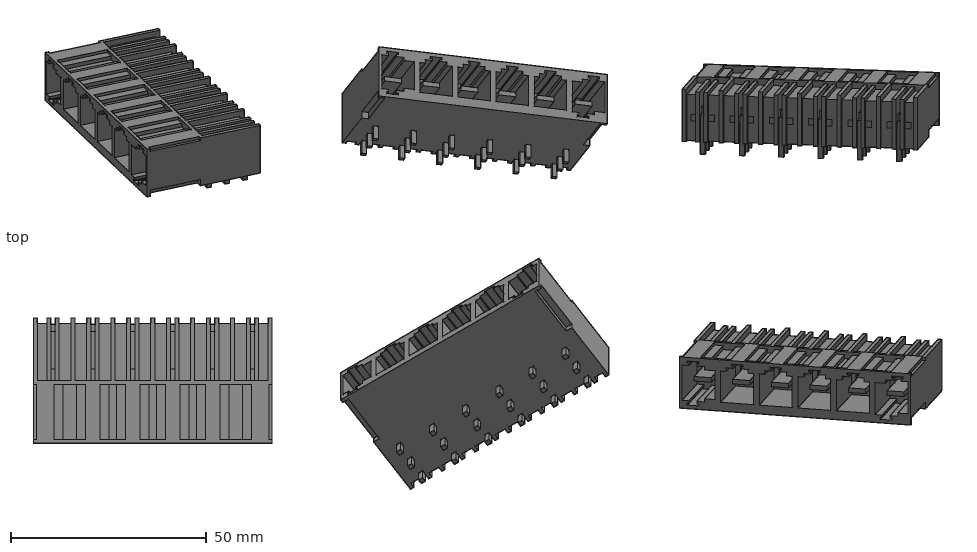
import cadquery as cq

LENGTH = 60.95
DEPTH = 32.0
HEIGHT = 13.65
CELLS = 6
PITCH = 10.2
CELL_CENTRES = [(i - (CELLS - 1) / 2) * PITCH for i in range(CELLS)]

FRONT_RIM = 1.0
CAVITY_DEPTH = 15.05
CAVITY_WIDTH = 8.65
SHOULDER_DROP = 3.0
INNER_FLOOR = 2.4
INNER_STEP_DROP = 2.0
INNER_STEP_WIDTH = 5.8
END_STEP_DROP = 2.15
END_STEP_WIDTH = 6.0
END_KEY_OFFSET = 1.45
KEY_NECK_WIDTH = 2.1
KEY_HEAD_WIDTH = 3.05
KEY_HEAD_HEIGHT = 0.5
KEY_DROP = 1.0

SKIN_DROP = 0.8
GROOVE_DROP = 1.8
INNER_RECESS_WIDTH = 6.5
INNER_GROOVE_WIDTH = 1.95
END_RECESS_WIDTH = 8.0
END_GROOVE_WIDTH = 3.4
END_RECESS_CENTRE = 21.15
TOP_EDGE_WIDTH = 0.85
BOTTOM_EDGE_SIZE = 1.75

CROSSBAR_BACK = 16.05
DECK_DROP = 1.6
DECK_BACK = DEPTH - 1.4
FIN = 1.05
PAIR_DROP = 0.6
SLOT_WIDTH = 1.1
SLOT_START = DEPTH - 13.05

BODY_WIDTH = 6.1
BODY_HEIGHT = 3.35
BODY_BACK = DEPTH - 3.55
TAIL_HEIGHT = BODY_HEIGHT / 2
TAIL_BACK = DEPTH - 1.6
BLADE_WIDTH = 4.5
BLADE_HEIGHT = 1.2
BLADE_TIP = 4.2
LEG = 1.3
LEG_DROP = 3.5
LEG_PITCH = 5.05
LEGS = 3
LEG_CENTRES = [TAIL_BACK - LEG / 2 - i * LEG_PITCH for i in range(LEGS)]
BODY_BASE = (HEIGHT - BODY_HEIGHT) / 2
BODY_TOP = BODY_BASE + BODY_HEIGHT
BLADE_BASE = (HEIGHT - BLADE_HEIGHT) / 2


def block(x_centre, width, y_front, y_back, z_low, z_high):
    """Box centred on x_centre, given by its Y and Z limits."""
    size_y = y_back - y_front
    size_z = z_high - z_low
    box = cq.Workplane("XY").box(width, size_y, size_z, centered=(True, False, False))
    return box.translate((x_centre, y_front, z_low))


def cavity_slice(x_centre, width, z_low, z_high):
    return block(x_centre, width, 0, CAVITY_DEPTH, z_low, z_high)


def inner_cavity(x):
    """Cavity with a stepped roof and a T-shaped keyway in the middle of it."""
    key_top = HEIGHT - KEY_DROP
    cavity = cavity_slice(x, CAVITY_WIDTH, INNER_FLOOR, HEIGHT - SHOULDER_DROP)
    cavity = cavity.union(cavity_slice(x, INNER_STEP_WIDTH, INNER_FLOOR, HEIGHT - INNER_STEP_DROP))
    cavity = cavity.union(cavity_slice(x, KEY_NECK_WIDTH, INNER_FLOOR, key_top))
    return cavity.union(cavity_slice(x, KEY_HEAD_WIDTH, key_top - KEY_HEAD_HEIGHT, key_top))


def end_cavity(x, top_side):
    """Cavity keyed in roof and floor; top_side (-1 or 1) is the X side of the roof keyway."""
    mid = HEIGHT / 2
    step_shift = (CAVITY_WIDTH - END_STEP_WIDTH) / 2
    cavity = cavity_slice(x, CAVITY_WIDTH, SHOULDER_DROP, HEIGHT - SHOULDER_DROP)

    step_top = x + top_side * step_shift
    key_top = x + top_side * END_KEY_OFFSET
    key_roof = HEIGHT - KEY_DROP
    cavity = cavity.union(cavity_slice(step_top, END_STEP_WIDTH, mid, HEIGHT - END_STEP_DROP))
    cavity = cavity.union(cavity_slice(key_top, KEY_NECK_WIDTH, mid, key_roof))
    cavity = cavity.union(cavity_slice(key_top, KEY_HEAD_WIDTH, key_roof - KEY_HEAD_HEIGHT, key_roof))

    step_low = x - step_shift
    key_low = x - END_KEY_OFFSET
    cavity = cavity.union(cavity_slice(step_low, END_STEP_WIDTH, END_STEP_DROP, mid))
    cavity = cavity.union(cavity_slice(key_low, KEY_NECK_WIDTH, KEY_DROP, mid))
    return cavity.union(cavity_slice(key_low, KEY_HEAD_WIDTH, KEY_DROP, KEY_DROP + KEY_HEAD_HEIGHT))


def cut_cavities(housing):
    housing = housing.cut(end_cavity(CELL_CENTRES[0], -1))
    for x in CELL_CENTRES[1:-1]:
        housing = housing.cut(inner_cavity(x))
    return housing.cut(end_cavity(CELL_CENTRES[-1], 1))


def skin_recess(x, width, z_low, z_high):
    return block(x, width, FRONT_RIM, CAVITY_DEPTH, z_low, z_high)


def cut_skin_recesses(housing):
    """Stepped recesses in the top between neighbouring cavities, and rebates along the side edges."""
    recesses = [(i * PITCH, INNER_RECESS_WIDTH, INNER_GROOVE_WIDTH) for i in (-1, 0, 1)]
    recesses += [(side * END_RECESS_CENTRE, END_RECESS_WIDTH, END_GROOVE_WIDTH) for side in (-1, 1)]
    for x, recess_width, groove_width in recesses:
        housing = housing.cut(skin_recess(x, recess_width, HEIGHT - SKIN_DROP, HEIGHT))
        housing = housing.cut(skin_recess(x, groove_width, HEIGHT - GROOVE_DROP, HEIGHT))
    for side in (-1, 1):
        top_x = side * (LENGTH - TOP_EDGE_WIDTH) / 2
        low_x = side * (LENGTH - BOTTOM_EDGE_SIZE) / 2
        housing = housing.cut(skin_recess(top_x, TOP_EDGE_WIDTH, HEIGHT - SKIN_DROP, HEIGHT))
        housing = housing.cut(skin_recess(low_x, BOTTOM_EDGE_SIZE, 0, BOTTOM_EDGE_SIZE))
    return housing


def add_fins(housing):
    """Full-height side walls and cell dividers, and a lower pair of fins on each cell centre."""
    wall = (LENGTH - FIN) / 2
    dividers = [x + PITCH / 2 for x in CELL_CENTRES[:-1]]
    for x in [-wall, *dividers, wall]:
        housing = housing.union(block(x, FIN, CROSSBAR_BACK, DEPTH, 0, HEIGHT))
    pair_offset = (SLOT_WIDTH + FIN) / 2
    for x in CELL_CENTRES:
        for side in (-1, 1):
            fin_x = x + side * pair_offset
            housing = housing.union(block(fin_x, FIN, CROSSBAR_BACK, DEPTH, 0, HEIGHT - PAIR_DROP))
    return housing


def make_housing():
    housing = block(0, LENGTH, 0, CROSSBAR_BACK, 0, HEIGHT)
    housing = housing.union(block(0, LENGTH, CROSSBAR_BACK, DECK_BACK, 0, HEIGHT - DECK_DROP))
    housing = add_fins(housing)
    housing = cut_cavities(housing)
    housing = cut_skin_recesses(housing)
    for x in CELL_CENTRES:
        housing = housing.cut(block(x, SLOT_WIDTH, SLOT_START, TAIL_BACK, BODY_TOP, HEIGHT))
        housing = housing.cut(block(x, SLOT_WIDTH, BODY_BACK, TAIL_BACK, BODY_BASE, HEIGHT))
        housing = housing.cut(block(x, SLOT_WIDTH, TAIL_BACK, DEPTH, 0, HEIGHT))
    return housing


def make_contact(x):
    """Blade in the cavity, body and lower tail in the rear half, and a row of solder legs."""
    contact = block(x, BODY_WIDTH, CAVITY_DEPTH, BODY_BACK, BODY_BASE, BODY_TOP)
    contact = contact.union(
        block(x, BODY_WIDTH, BODY_BACK, TAIL_BACK, BODY_BASE, BODY_BASE + TAIL_HEIGHT)
    )
    blade_top = BLADE_BASE + BLADE_HEIGHT
    contact = contact.union(block(x, BLADE_WIDTH, BLADE_TIP, CAVITY_DEPTH, BLADE_BASE, blade_top))
    for y in LEG_CENTRES:
        contact = contact.union(block(x, LEG, y - LEG / 2, y + LEG / 2, -LEG_DROP, BODY_BASE))
    return contact


housing = make_housing()
contacts = [make_contact(x) for x in CELL_CENTRES]
for contact in contacts:
    housing = housing.cut(contact)

result = cq.Compound.makeCompound([housing.val(), *[contact.val() for contact in contacts]])